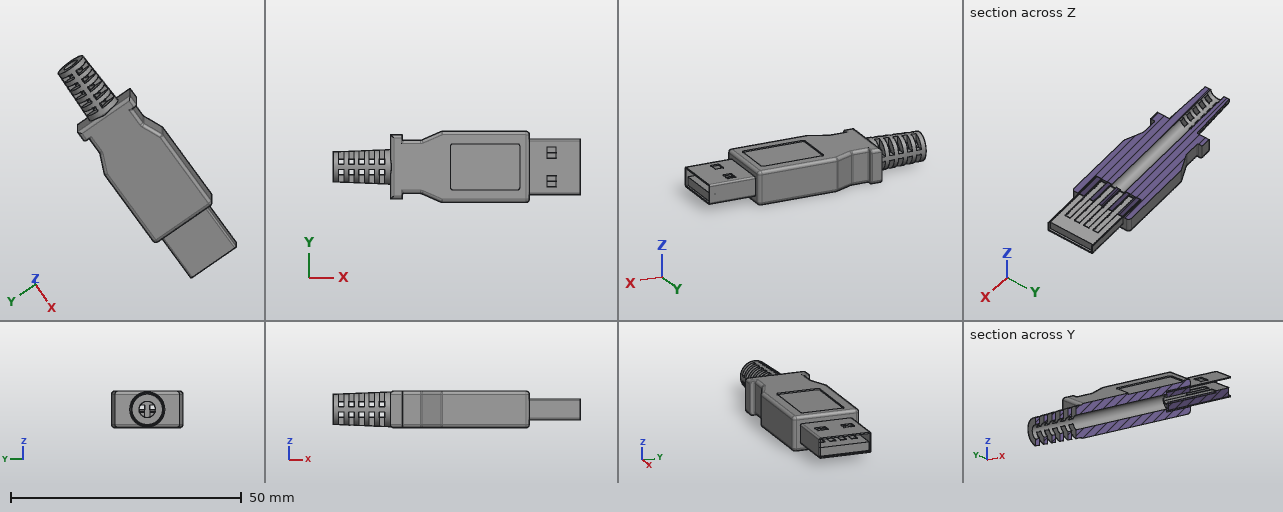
import cadquery as cq

OVERALL_LENGTH = 53.5

GRIP_HEIGHT = 8.0
FLANGE_REAR_X = 12.4
FLANGE_FRONT_X = 15.0
TAPER_START_X = 19.05
TAPER_END_X = 23.5
GRIP_FRONT_X = 42.5
FLANGE_HALF_WIDTH = 7.0
NECK_HALF_WIDTH = 5.8
GRIP_HALF_WIDTH = 7.75
RIM_RADIUS = 0.75
FLANGE_FRONT_RADIUS = 0.2
FLANGE_ROOT_RADIUS = 0.2
TAPER_BEND_RADIUS = 0.8
FRONT_CORNER_RADIUS = 0.8

LABEL_REAR_X = 25.4
LABEL_FRONT_X = 40.4
LABEL_WIDTH = 10.0
LABEL_DEPTH = 0.3
LABEL_CORNER_RADIUS = 0.5

RELIEF_REAR_RADIUS = 3.3
RELIEF_FRONT_RADIUS = 3.8
CABLE_BORE_DIAMETER = 3.5
SLOT_COUNT = 5
SLOT_PITCH = 2.2
SLOT_LENGTH = 1.15
FIRST_SLOT_X = 1.75
RELIEF_BAR_WIDTH = 1.15

SHELL_REAR_X = 36.0
SHELL_WIDTH = 12.1
SHELL_HEIGHT = 4.6
SHELL_WALL = 0.3
SHELL_CORNER_RADIUS = 0.4
LATCH_HOLE_REAR_X = 46.3
LATCH_HOLE_LENGTH = 1.95
LATCH_HOLE_WIDTH = 2.45
LATCH_HOLE_SPACING = 6.15

BLOCK_LENGTH = 6.4
TONGUE_FRONT_X = 53.0
TONGUE_TOP_Z = -0.05
WINDOW_TOP_Z = 0.9
GROOVE_WIDTH = 1.4
GROOVE_FRONT_X = 49.4

CONTACT_COUNT = 4
CONTACT_PITCH = 2.5
CONTACT_WIDTH = 1.25
CONTACT_THICKNESS = 0.35
CONTACT_TOP_Z = -0.15
BEND_INNER_DIAMETER = 0.35

CAVITY_WIDTH = SHELL_WIDTH - 2 * SHELL_WALL
CAVITY_HEIGHT = SHELL_HEIGHT - 2 * SHELL_WALL
CAVITY_CORNER_RADIUS = SHELL_CORNER_RADIUS - SHELL_WALL
CAVITY_FLOOR_Z = -CAVITY_HEIGHT / 2
GROOVE_FLOOR_Z = CONTACT_TOP_Z - CONTACT_THICKNESS
BEND_INNER_RADIUS = BEND_INNER_DIAMETER / 2
BEND_OUTER_RADIUS = BEND_INNER_RADIUS + CONTACT_THICKNESS
CONTACT_CENTRES_Y = [
    (index - (CONTACT_COUNT - 1) / 2) * CONTACT_PITCH for index in range(CONTACT_COUNT)
]


def box(x_range, y_range, z_range):
    """A box given by its two limits along each axis."""
    lengths = [limits[1] - limits[0] for limits in (x_range, y_range, z_range)]
    corner = (x_range[0], y_range[0], z_range[0])
    return cq.Workplane("XY").box(*lengths, centered=False).translate(corner)


def rounded_bar(start_x, end_x, width, height, corner_radius):
    """A bar along X, centred on the X axis, with rounded long edges."""
    bar = box((start_x, end_x), (-width / 2, width / 2), (-height / 2, height / 2))
    return bar.edges("|X").fillet(corner_radius)


def upright_edges(x, half_width):
    """Selects the upright edges at one X, on both sides of the part."""
    reach = 0.01
    boxes = [
        cq.selectors.BoxSelector(
            (x - reach, side * half_width - reach, -reach),
            (x + reach, side * half_width + reach, reach),
        )
        for side in (-1, 1)
    ]
    return boxes[0] + boxes[1]


def make_flange():
    """The rear flange, with rims along its rear and sides and a small round at its front."""
    flange = box(
        (FLANGE_REAR_X, FLANGE_FRONT_X),
        (-FLANGE_HALF_WIDTH, FLANGE_HALF_WIDTH),
        (-GRIP_HEIGHT / 2, GRIP_HEIGHT / 2),
    )
    front_edges = cq.selectors.DirectionMinMaxSelector(cq.Vector(1, 0, 0), True)
    rims = flange.faces("|Z").edges(cq.selectors.InverseSelector(front_edges))
    flange = rims.fillet(RIM_RADIUS)
    return flange.faces(">X").edges().fillet(FLANGE_FRONT_RADIUS)


def make_grip():
    """The flat moulded grip: flange, neck, taper and wide front, with rounded rims."""
    body_rear_x = FLANGE_REAR_X + RIM_RADIUS
    upper_side = [
        (body_rear_x, NECK_HALF_WIDTH),
        (TAPER_START_X, NECK_HALF_WIDTH),
        (TAPER_END_X, GRIP_HALF_WIDTH),
        (GRIP_FRONT_X, GRIP_HALF_WIDTH),
    ]
    lower_side = [(x, -y) for x, y in reversed(upper_side)]
    body = cq.Workplane("XY").polyline(upper_side + lower_side).close()
    body = body.extrude(GRIP_HEIGHT / 2, both=True)
    body = body.edges(upright_edges(TAPER_START_X, NECK_HALF_WIDTH)).fillet(TAPER_BEND_RADIUS)
    body = body.edges(upright_edges(TAPER_END_X, GRIP_HALF_WIDTH)).fillet(TAPER_BEND_RADIUS)
    body = body.edges(upright_edges(GRIP_FRONT_X, GRIP_HALF_WIDTH)).fillet(FRONT_CORNER_RADIUS)
    rear_edges = cq.selectors.DirectionMinMaxSelector(cq.Vector(1, 0, 0), False)
    body = body.faces("|Z").edges(cq.selectors.InverseSelector(rear_edges)).fillet(RIM_RADIUS)
    grip = make_flange().union(body)
    return grip.edges(upright_edges(FLANGE_FRONT_X, NECK_HALF_WIDTH)).fillet(FLANGE_ROOT_RADIUS)


def make_label_recess():
    recess = box(
        (LABEL_REAR_X, LABEL_FRONT_X),
        (-LABEL_WIDTH / 2, LABEL_WIDTH / 2),
        (GRIP_HEIGHT / 2 - LABEL_DEPTH, GRIP_HEIGHT / 2),
    )
    return recess.edges("|Z").fillet(LABEL_CORNER_RADIUS)


def make_strain_relief():
    """A cone cut by rings of four slots, leaving four bars that run along X."""
    embed_x = FLANGE_REAR_X + RIM_RADIUS
    relief = (
        cq.Workplane("XZ")
        .polyline(
            [
                (0, 0),
                (0, RELIEF_REAR_RADIUS),
                (FLANGE_REAR_X, RELIEF_FRONT_RADIUS),
                (embed_x, RELIEF_FRONT_RADIUS),
                (embed_x, 0),
            ]
        )
        .close()
        .revolve(360, (0, 0, 0), (1, 0, 0))
    )
    inner = RELIEF_BAR_WIDTH / 2
    outer = RELIEF_FRONT_RADIUS
    for index in range(SLOT_COUNT):
        centre_x = FIRST_SLOT_X + index * SLOT_PITCH
        slot_x = (centre_x - SLOT_LENGTH / 2, centre_x + SLOT_LENGTH / 2)
        for y_limits in ((-outer, -inner), (inner, outer)):
            for z_limits in ((-outer, -inner), (inner, outer)):
                relief = relief.cut(box(slot_x, y_limits, z_limits))
    return relief


def make_housing():
    bore = cq.Workplane("YZ").circle(CABLE_BORE_DIAMETER / 2).extrude(SHELL_REAR_X)
    shell_pocket = rounded_bar(
        SHELL_REAR_X, GRIP_FRONT_X, SHELL_WIDTH, SHELL_HEIGHT, SHELL_CORNER_RADIUS
    )
    housing = make_grip().union(make_strain_relief())
    return housing.cut(make_label_recess()).cut(bore).cut(shell_pocket)


def make_shell():
    """A rectangular tube, open at both ends, with two latch holes in its upper wall."""
    shell = rounded_bar(SHELL_REAR_X, OVERALL_LENGTH, SHELL_WIDTH, SHELL_HEIGHT, SHELL_CORNER_RADIUS)
    cavity = rounded_bar(
        SHELL_REAR_X, OVERALL_LENGTH, CAVITY_WIDTH, CAVITY_HEIGHT, CAVITY_CORNER_RADIUS
    )
    shell = shell.cut(cavity)
    for side in (-1, 1):
        centre_y = side * LATCH_HOLE_SPACING / 2
        hole = box(
            (LATCH_HOLE_REAR_X, LATCH_HOLE_REAR_X + LATCH_HOLE_LENGTH),
            (centre_y - LATCH_HOLE_WIDTH / 2, centre_y + LATCH_HOLE_WIDTH / 2),
            (0, SHELL_HEIGHT / 2),
        )
        shell = shell.cut(hole)
    return shell


def make_contact(centre_y):
    """A strip lying in its groove, bent down over the rear end of the tongue."""
    rear_x = SHELL_REAR_X
    bend_centre_x = rear_x + BEND_OUTER_RADIUS
    bend_centre_z = CONTACT_TOP_Z - BEND_OUTER_RADIUS
    return (
        cq.Workplane("XZ", origin=(0, centre_y, 0))
        .moveTo(rear_x, CAVITY_FLOOR_Z)
        .lineTo(rear_x, bend_centre_z)
        .radiusArc((bend_centre_x, CONTACT_TOP_Z), BEND_OUTER_RADIUS)
        .lineTo(GROOVE_FRONT_X, CONTACT_TOP_Z)
        .lineTo(GROOVE_FRONT_X, GROOVE_FLOOR_Z)
        .lineTo(bend_centre_x, GROOVE_FLOOR_Z)
        .radiusArc((rear_x + CONTACT_THICKNESS, bend_centre_z), -BEND_INNER_RADIUS)
        .lineTo(rear_x + CONTACT_THICKNESS, CAVITY_FLOOR_Z)
        .close()
        .extrude(CONTACT_WIDTH / 2, both=True)
    )


def make_insulator(contacts):
    """The block and tongue inside the shell, with a window and a groove for each contact."""
    block_front_x = SHELL_REAR_X + BLOCK_LENGTH
    insulator = rounded_bar(
        SHELL_REAR_X, TONGUE_FRONT_X, CAVITY_WIDTH, CAVITY_HEIGHT, CAVITY_CORNER_RADIUS
    )
    half_width = CAVITY_WIDTH / 2
    mating_space = box(
        (block_front_x, TONGUE_FRONT_X), (-half_width, half_width), (TONGUE_TOP_Z, -CAVITY_FLOOR_Z)
    )
    insulator = insulator.cut(mating_space)
    for centre_y, contact in zip(CONTACT_CENTRES_Y, contacts):
        groove_y = (centre_y - GROOVE_WIDTH / 2, centre_y + GROOVE_WIDTH / 2)
        groove = box((SHELL_REAR_X, GROOVE_FRONT_X), groove_y, (GROOVE_FLOOR_Z, WINDOW_TOP_Z))
        insulator = insulator.cut(groove).cut(contact)
    return insulator


housing = make_housing()
shell = make_shell()
contacts = [make_contact(centre_y) for centre_y in CONTACT_CENTRES_Y]
insulator = make_insulator(contacts)

result = cq.Compound.makeCompound(
    [housing.val(), shell.val(), insulator.val(), *[contact.val() for contact in contacts]]
)